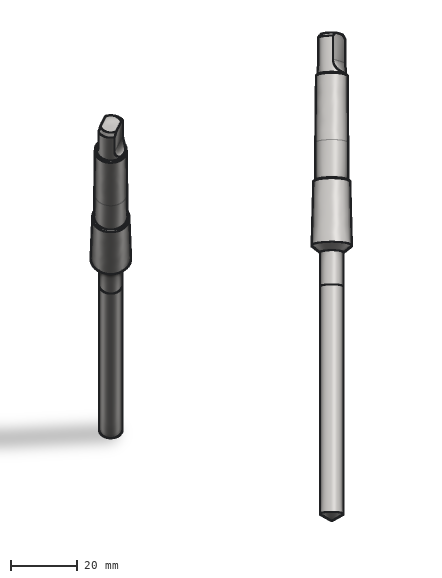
import cadquery as cq
import math

TOTAL_LENGTH = 150.0
CUTTING_LENGTH = 72.2
SHANK_BASE = 82.6
TAPER_BASE = 84.8
RELIEF_BASE = 104.8
RELIEF_TOP = 116.4
TAPER_TOP = 137.4

DRILL_DIAMETER = 7.2
POINT_ANGLE = 118.0

TAPER_BASE_DIAMETER = 12.3
TAPER_RATIO = 0.05
RELIEF_DIAMETER = 10.0
STEP_CHAMFER = 0.5

TANG_DIAMETER = 8.7
TANG_THICKNESS = 5.2
TANG_ANGLE = 30.0
TANG_CHAMFER_RADIAL = 1.0
TANG_CHAMFER_HEIGHT = 1.5
CROWN_HEIGHT = 0.3
FLAT_BASE = 141.3
FLAT_RUNOUT_RADIUS = 5.0

DRILL_RADIUS = DRILL_DIAMETER / 2
POINT_HEIGHT = DRILL_RADIUS / math.tan(math.radians(POINT_ANGLE / 2))


def taper_radius(z):
    """Radius of the shank taper at height z, ignoring the relief."""
    return (TAPER_BASE_DIAMETER - TAPER_RATIO * (z - TAPER_BASE)) / 2


def revolve_profile(points):
    """Revolve (radius, z) points about the Z axis."""
    return cq.Workplane("XZ").polyline(points).close().revolve(360, (0, 0), (0, 1))


def make_cutting_end():
    """Drill point and the cylinder above it."""
    return revolve_profile([
        (0, 0),
        (DRILL_RADIUS, POINT_HEIGHT),
        (DRILL_RADIUS, CUTTING_LENGTH),
        (0, CUTTING_LENGTH),
    ])


def make_tang_cutter():
    """Material outside one tang flat, with a round runout at its lower end."""
    flat_x = TANG_THICKNESS / 2
    outer_x = flat_x + FLAT_RUNOUT_RADIUS
    mid_offset = FLAT_RUNOUT_RADIUS * math.sqrt(0.5)
    return (
        cq.Workplane("XZ")
        .moveTo(flat_x, TOTAL_LENGTH)
        .lineTo(flat_x, FLAT_BASE)
        .threePointArc((outer_x - mid_offset, FLAT_BASE - mid_offset),
                       (outer_x, FLAT_BASE - FLAT_RUNOUT_RADIUS))
        .lineTo(outer_x, TOTAL_LENGTH)
        .close()
        .extrude(TANG_DIAMETER, both=True)
    )


def make_shank():
    """Drill neck, relieved taper and flatted tang with a shallow conical crown."""
    shank = revolve_profile([
        (0, CUTTING_LENGTH),
        (DRILL_RADIUS, CUTTING_LENGTH),
        (DRILL_RADIUS, SHANK_BASE),
        (TAPER_BASE_DIAMETER / 2, TAPER_BASE),
        (taper_radius(RELIEF_BASE), RELIEF_BASE - STEP_CHAMFER),
        (RELIEF_DIAMETER / 2, RELIEF_BASE),
        (RELIEF_DIAMETER / 2, RELIEF_TOP),
        (taper_radius(TAPER_TOP), TAPER_TOP - STEP_CHAMFER),
        (TANG_DIAMETER / 2, TAPER_TOP),
        (TANG_DIAMETER / 2, TOTAL_LENGTH - TANG_CHAMFER_HEIGHT),
        (TANG_DIAMETER / 2 - TANG_CHAMFER_RADIAL, TOTAL_LENGTH - CROWN_HEIGHT),
        (0, TOTAL_LENGTH),
    ])
    for angle in (TANG_ANGLE, TANG_ANGLE + 180):
        shank = shank.cut(make_tang_cutter().rotate((0, 0, 0), (0, 0, 1), angle))
    return shank


cutting_end = make_cutting_end()
shank = make_shank()

result = cq.Compound.makeCompound([cutting_end.val(), shank.val()])